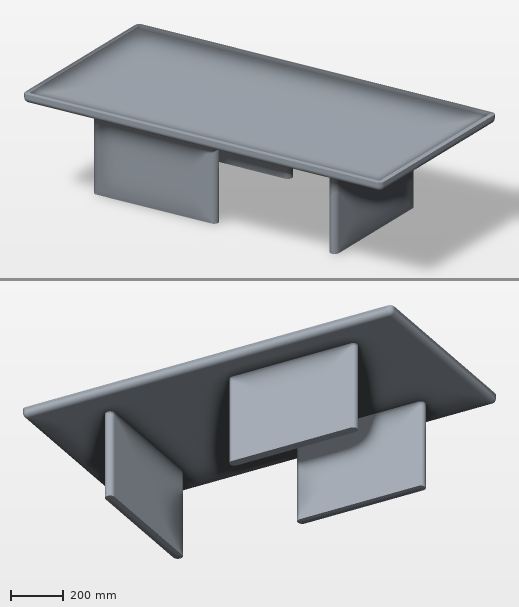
import cadquery as cq

top_length = 1626.0
top_width = 815.0
top_thickness = 37.0
table_height = 406.0
corner_radius = 20.0
bottom_edge_radius = 20.0

rim_width = 20.0
recess_depth = 7.0

leg_length = 560.0
leg_thickness = 39.0
leg_height = table_height - top_thickness
side_leg_x = -299.0
side_leg_y = (leg_length - leg_thickness) / 2
cross_leg_x = 507.0


def make_table_top():
    """Rounded slab standing on the legs, with a shallow tray in its upper face."""
    slab = (
        cq.Workplane("XY", origin=(0, 0, leg_height))
        .rect(top_length, top_width)
        .extrude(top_thickness)
        .edges("|Z")
        .fillet(corner_radius)
        .faces("<Z")
        .edges()
        .fillet(bottom_edge_radius)
    )
    recess = (
        cq.Workplane("XY", origin=(0, 0, table_height - recess_depth))
        .rect(top_length - 2 * rim_width, top_width - 2 * rim_width)
        .extrude(2 * recess_depth)
        .edges("|Z")
        .fillet(recess_depth)
        .faces("<Z")
        .edges()
        .fillet(recess_depth)
    )
    return slab.cut(recess)


def make_leg(x, y, angle):
    """Upright panel centred at (x, y), turned by angle degrees from the X axis."""
    return (
        cq.Workplane("XY", origin=(x, y, 0))
        .slot2D(leg_length, leg_thickness, angle)
        .extrude(leg_height)
    )


table_top = make_table_top()

leg_places = [
    (side_leg_x, -side_leg_y, 0),
    (side_leg_x, side_leg_y, 0),
    (cross_leg_x, 0, 90),
]
legs = [make_leg(x, y, angle).val() for x, y, angle in leg_places]

result = cq.Compound.makeCompound([table_top.val(), *legs])